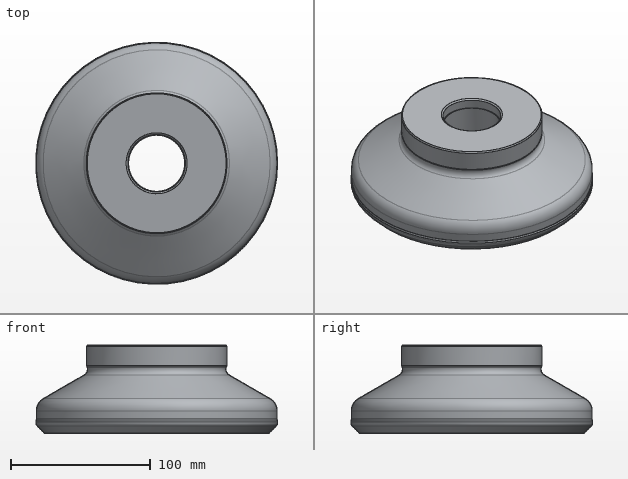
import cadquery as cq
import math

total_height = 63.0
base_radius = 86.5
base_height = 10.2
foot_radius = 80.2
foot_chamfer_top = 5.2
base_top_chamfer_height = 1.4
base_top_chamfer_width = 0.5

bell_radius = 86.0
shoulder_round = 10.0
shoulder_round_bottom = 16.0
slope_angle = 30.0
neck_round = 5.0
neck_slope_radius = 52.0

collar_radius = 50.3
collar_height = 15.5
collar_chamfer_height = 1.0
collar_chamfer_width = 0.7

bore_radius = 20.0
counterbore_radius = 20.5
counterbore_depth = 7.3
bore_chamfer_width = 1.2
bore_chamfer_depth = 0.9


def polar(center, radius, angle):
    """Point (r, z) on a circle, with the angle in degrees from the outward radial direction."""
    turn = math.radians(angle)
    return (center[0] + radius * math.cos(turn), center[1] + radius * math.sin(turn))


def make_base():
    """Base disc with a broken top edge and a 45 degree foot chamfer blended into its rim."""
    chamfer_top = (foot_radius + foot_chamfer_top, foot_chamfer_top)
    round_radius = (base_radius - chamfer_top[0]) / (1 - math.cos(math.radians(45)))
    round_bottom = chamfer_top[1] + round_radius * math.sin(math.radians(45))
    round_center = (base_radius - round_radius, round_bottom)
    profile = (
        cq.Workplane("XZ")
        .moveTo(bore_radius, 0)
        .lineTo(foot_radius, 0)
        .lineTo(*chamfer_top)
        .threePointArc(polar(round_center, round_radius, -22.5), (base_radius, round_bottom))
        .lineTo(base_radius, base_height - base_top_chamfer_height)
        .lineTo(base_radius - base_top_chamfer_width, base_height)
        .lineTo(bore_radius, base_height)
        .close()
    )
    return profile.revolve(360, (0, 0, 0), (0, 1, 0))


def make_hub():
    """Bell-shaped hub: rounded shoulder, conical slope, grooved neck, collar and stepped bore."""
    slope_normal = 90 - slope_angle
    shoulder_center = (bell_radius - shoulder_round, shoulder_round_bottom)
    slope_bottom = polar(shoulder_center, shoulder_round, slope_normal)

    slope_rise = (slope_bottom[0] - neck_slope_radius) * math.tan(math.radians(slope_angle))
    slope_top = (neck_slope_radius, slope_bottom[1] + slope_rise)
    neck_center = polar(slope_top, neck_round, slope_normal)
    collar_bottom = total_height - collar_height
    neck_end_angle = 180 - math.degrees(math.asin((collar_bottom - neck_center[1]) / neck_round))
    neck_end = polar(neck_center, neck_round, neck_end_angle)

    profile = (
        cq.Workplane("XZ")
        .moveTo(bore_radius, base_height)
        .lineTo(bell_radius, base_height)
        .lineTo(bell_radius, shoulder_round_bottom)
        .threePointArc(polar(shoulder_center, shoulder_round, slope_normal / 2), slope_bottom)
        .lineTo(*slope_top)
        .threePointArc(polar(neck_center, neck_round, 180), neck_end)
        .lineTo(collar_radius - collar_chamfer_width, collar_bottom)
        .lineTo(collar_radius, collar_bottom + collar_chamfer_height)
        .lineTo(collar_radius, total_height - collar_chamfer_height)
        .lineTo(collar_radius - collar_chamfer_width, total_height)
        .lineTo(counterbore_radius + bore_chamfer_width, total_height)
        .lineTo(counterbore_radius, total_height - bore_chamfer_depth)
        .lineTo(counterbore_radius, total_height - counterbore_depth)
        .lineTo(bore_radius, total_height - counterbore_depth)
        .close()
    )
    return profile.revolve(360, (0, 0, 0), (0, 1, 0))


base = make_base()
hub = make_hub()
result = cq.Compound.makeCompound([base.val(), hub.val()])